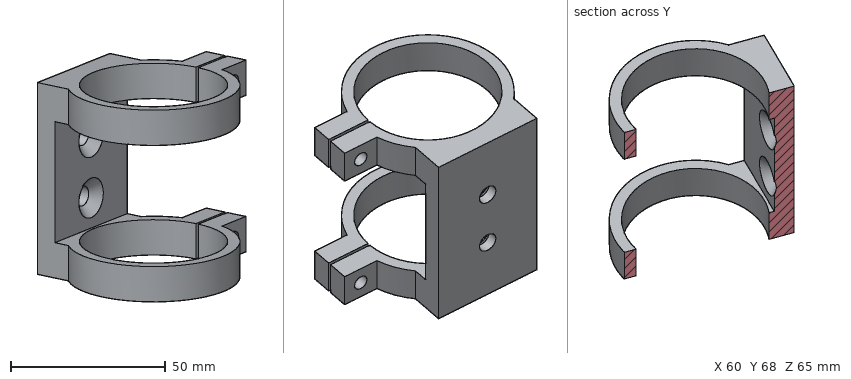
import cadquery as cq
import math

bore_radius = 24.0
ring_wall = 4.0
ring_height = 12.0
total_height = 65.0

plate_back_x = -32.0
plate_width = 40.0
plate_thickness = 7.0

ear_end_y = 40.0
ears_width = 16.0
slit_width = 1.0
ear_hole_diameter = 5.0

plate_hole_diameter = 6.6
plate_hole_spacing = 20.5
countersink_diameter = 13.4
countersink_angle = 90.0

ring_radius = bore_radius + ring_wall
ring_bottoms = (0.0, total_height - ring_height)
mid_height = total_height / 2
plate_front_x = plate_back_x + plate_thickness
countersink_depth = (
    (countersink_diameter - plate_hole_diameter) / 2 / math.tan(math.radians(countersink_angle / 2))
)
ear_root_y = math.sqrt(ring_radius**2 - (ears_width / 2) ** 2)
ear_hole_y = (ear_root_y + ear_end_y) / 2


def box_between(x_range, y_range, z_range):
    """Box spanning the given (low, high) ranges along X, Y and Z."""
    ranges = (x_range, y_range, z_range)
    lengths = [high - low for low, high in ranges]
    corner = tuple(low for low, high in ranges)
    return cq.Workplane("XY").box(*lengths, centered=False).translate(corner)


def cylinder_along_x(diameter, x_range, y, z):
    """Cylinder parallel to X, centred at the given Y and Z."""
    start, end = x_range
    return (
        cq.Workplane("YZ", origin=(start, y, z))
        .circle(diameter / 2)
        .extrude(end - start)
    )


def clamp_ring(bottom):
    """Split ring with two screw ears and a foot that reaches the back plate."""
    z_range = (bottom, bottom + ring_height)
    base = cq.Workplane("XY", origin=(0, 0, bottom))
    foot = box_between((plate_back_x, 0), (-plate_width / 2, plate_width / 2), z_range)
    ears = box_between((-ears_width / 2, ears_width / 2), (0, ear_end_y), z_range)
    bore = base.circle(bore_radius).extrude(ring_height)
    slit = box_between((-slit_width / 2, slit_width / 2), (0, ear_end_y), z_range)
    screw_hole = cylinder_along_x(
        ear_hole_diameter,
        (-ears_width / 2, ears_width / 2),
        ear_hole_y,
        bottom + ring_height / 2,
    )
    body = base.circle(ring_radius).extrude(ring_height).union(foot).union(ears)
    return body.cut(bore).cut(slit).cut(screw_hole)


def countersunk_hole(z):
    """Plate hole at height z, widening to a cone on the side facing the bore."""
    hole = cylinder_along_x(plate_hole_diameter, (plate_back_x, plate_front_x), 0, z)
    cone = cq.Solid.makeCone(
        plate_hole_diameter / 2,
        countersink_diameter / 2,
        countersink_depth,
        pnt=cq.Vector(plate_front_x - countersink_depth, 0, z),
        dir=cq.Vector(1, 0, 0),
    )
    return hole.union(cq.Workplane(cone))


def back_plate():
    """Flat plate joining the rings, with two countersunk mounting holes."""
    plate = box_between(
        (plate_back_x, plate_front_x), (-plate_width / 2, plate_width / 2), (0, total_height)
    )
    for side in (-1, 1):
        plate = plate.cut(countersunk_hole(mid_height + side * plate_hole_spacing / 2))
    return plate


result = back_plate()
for ring_bottom in ring_bottoms:
    result = result.union(clamp_ring(ring_bottom))